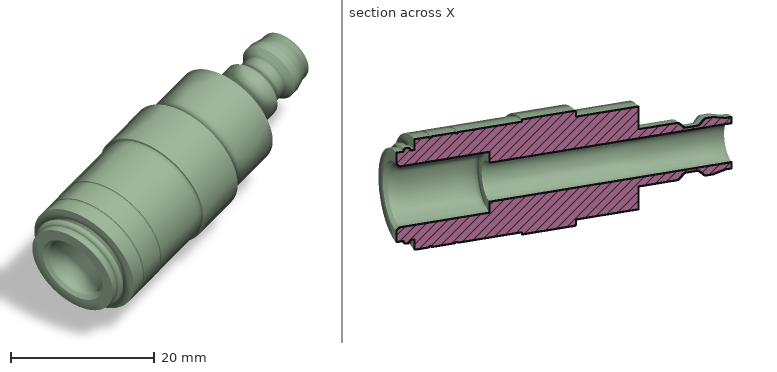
import cadquery as cq

length = 50.0

nose_radius = 7.0
nose_length = 2.7
ridge_radius = 7.5
ridge_start = 1.05
ridge_end = 2.15

sleeve_radius = 8.65
collar_radius = 9.0
collar_start = 18.7
collar_end = 26.8
collar_chamfer = 0.2
body_radius = 8.05
body_end = 36.1

groove_starts = (4.9, 8.9)
groove_width = 0.3
groove_depth = 0.15

plug_radius = 4.5
neck_radius = 3.55
neck_start = 43.0
neck_end = 45.0
neck_taper_length = 1.0
taper_start = 47.2
taper_end = 49.05
tip_radius = 4.05
tip_chamfer_length = 0.25
tip_chamfer_depth = 0.05

through_radius = 3.0
socket_radius = 4.7
socket_depth = length - body_end
mouth_chamfer = 0.5


def turn(profile):
    """Revolve a closed XY profile about the Y axis."""
    return profile.close().revolve(360, (0, 0, 0), (0, 1, 0))


def make_outside():
    profile = (
        cq.Workplane("XY")
        .moveTo(0, 0)
        .lineTo(nose_radius, 0)
        .lineTo(nose_radius, ridge_start)
        .threePointArc((ridge_radius, (ridge_start + ridge_end) / 2), (nose_radius, ridge_end))
        .lineTo(nose_radius, nose_length)
        .lineTo(sleeve_radius, nose_length)
        .lineTo(sleeve_radius, collar_start)
        .lineTo(collar_radius, collar_start)
        .lineTo(collar_radius, collar_end - collar_chamfer)
        .lineTo(collar_radius - collar_chamfer, collar_end)
        .lineTo(body_radius, collar_end)
        .lineTo(body_radius, body_end)
        .lineTo(plug_radius, body_end)
        .lineTo(plug_radius, neck_start - neck_taper_length)
        .lineTo(neck_radius, neck_start)
        .lineTo(neck_radius, neck_end)
        .lineTo(plug_radius, neck_end + neck_taper_length)
        .lineTo(plug_radius, taper_start)
        .lineTo(tip_radius, taper_end)
        .lineTo(tip_radius, length - tip_chamfer_length)
        .lineTo(tip_radius - tip_chamfer_depth, length)
        .lineTo(0, length)
    )
    return turn(profile)


def make_bore():
    profile = (
        cq.Workplane("XY")
        .moveTo(0, 0)
        .lineTo(socket_radius + mouth_chamfer, 0)
        .lineTo(socket_radius, mouth_chamfer)
        .lineTo(socket_radius, socket_depth)
        .lineTo(through_radius, socket_depth)
        .lineTo(through_radius, length)
        .lineTo(0, length)
    )
    return turn(profile)


def make_groove(start):
    profile = (
        cq.Workplane("XY")
        .moveTo(sleeve_radius - groove_depth, start)
        .lineTo(collar_radius, start)
        .lineTo(collar_radius, start + groove_width)
        .lineTo(sleeve_radius - groove_depth, start + groove_width)
    )
    return turn(profile)


result = make_outside().cut(make_bore())
for groove_start in groove_starts:
    result = result.cut(make_groove(groove_start))